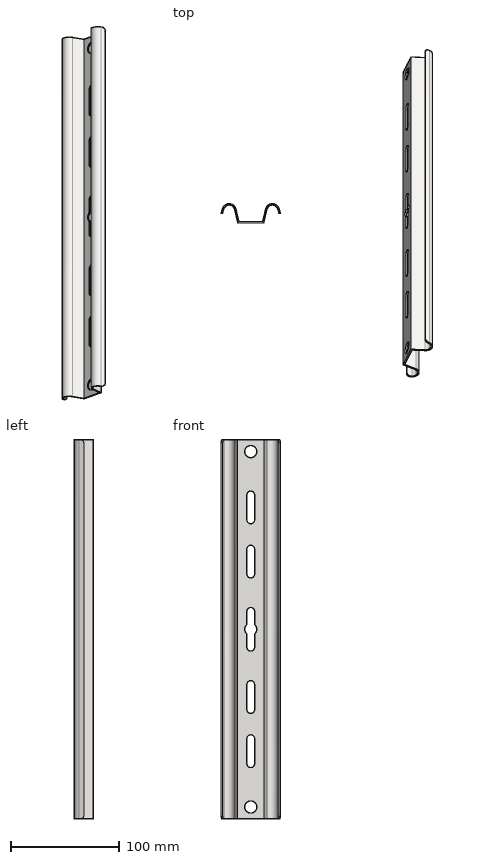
import cadquery as cq
import math

WIDTH = 55.0
DEPTH = 18.0
LENGTH = 350.0

THICKNESS = 1.5
WEB_WIDTH = 24.0
BEND_RADIUS = 5.0
LIP_ANGLE = 16.0
RIM_Y = 8.8
LIP_CORNER = 3.5

HOLE_DIAMETER = 11.0
END_HOLE_INSET = 11.0
SLOT_WIDTH = 7.0
SLOT_LENGTH = 30.0
SLOT_HEIGHTS = (62.5, 112.5)
MIDDLE_SLOT_LENGTH = 40.0

OUTER_RADIUS = BEND_RADIUS + THICKNESS
CREST_CENTER_Y = DEPTH - OUTER_RADIUS


def crest_center_x():
    """Distance of each crest axis from the mid plane that puts the lip rim at half the width."""
    lip = math.radians(LIP_ANGLE)
    tangent_height = CREST_CENTER_Y + OUTER_RADIUS * math.sin(lip) - RIM_Y
    return WIDTH / 2 - OUTER_RADIUS * math.cos(lip) - tangent_height * math.tan(lip)


CREST_CENTER_X = crest_center_x()


def wall_angle():
    """Slope from the Y axis of the wall running from the web corner tangent to the crest."""
    run = CREST_CENTER_X - WEB_WIDTH / 2
    chord = math.hypot(run, CREST_CENTER_Y)
    return math.atan2(run, CREST_CENTER_Y) - math.asin(BEND_RADIUS / chord)


def crest_point(radius, direction):
    """Point on the right-hand crest at an angle (radians) from the +X axis."""
    return (
        CREST_CENTER_X + radius * math.cos(direction),
        CREST_CENTER_Y + radius * math.sin(direction),
    )


def half_section():
    """Right half of the bent sheet section, drawn in XY from the mid plane outwards."""
    wall = wall_angle()
    lip = math.radians(LIP_ANGLE)
    wall_side = math.pi - wall
    top = math.pi / 2

    inner_tangent = crest_point(BEND_RADIUS, lip)
    inner_tip = (inner_tangent[0] + (inner_tangent[1] - RIM_Y) * math.tan(lip), RIM_Y)

    inside_corner_x = WEB_WIDTH / 2 + THICKNESS * (math.sin(wall) - 1) / math.cos(wall)
    return (
        cq.Workplane("XY")
        .workplane(offset=-LENGTH / 2)
        .moveTo(0, 0)
        .lineTo(WEB_WIDTH / 2, 0)
        .lineTo(*crest_point(BEND_RADIUS, wall_side))
        .threePointArc(crest_point(BEND_RADIUS, top), inner_tangent)
        .lineTo(*inner_tip)
        .lineTo(WIDTH / 2, RIM_Y)
        .lineTo(*crest_point(OUTER_RADIUS, lip))
        .threePointArc(crest_point(OUTER_RADIUS, top), crest_point(OUTER_RADIUS, wall_side))
        .lineTo(inside_corner_x, THICKNESS)
        .lineTo(0, THICKNESS)
        .close()
    )


def rail_half():
    """Right half of the rail with its free lip corners rounded."""
    half = half_section().extrude(LENGTH)
    corner_edges = half.faces("|Y").faces(">X").edges("|X")
    return corner_edges.fillet(LIP_CORNER)


def web_cut(profile):
    """Cutter through the web made from a closed profile drawn in XZ."""
    return profile.extrude(-THICKNESS)


def hole(height):
    return web_cut(cq.Workplane("XZ").center(0, height).circle(HOLE_DIAMETER / 2))


def slot(height, length):
    return web_cut(cq.Workplane("XZ").center(0, height).slot2D(length, SLOT_WIDTH, 90))


right_half = rail_half()
result = right_half.union(right_half.mirror("YZ")).clean()

end_hole_height = LENGTH / 2 - END_HOLE_INSET
for side in (-1, 1):
    result = result.cut(hole(side * end_hole_height))
    for slot_height in SLOT_HEIGHTS:
        result = result.cut(slot(side * slot_height, SLOT_LENGTH))

result = result.cut(slot(0, MIDDLE_SLOT_LENGTH)).cut(hole(0))